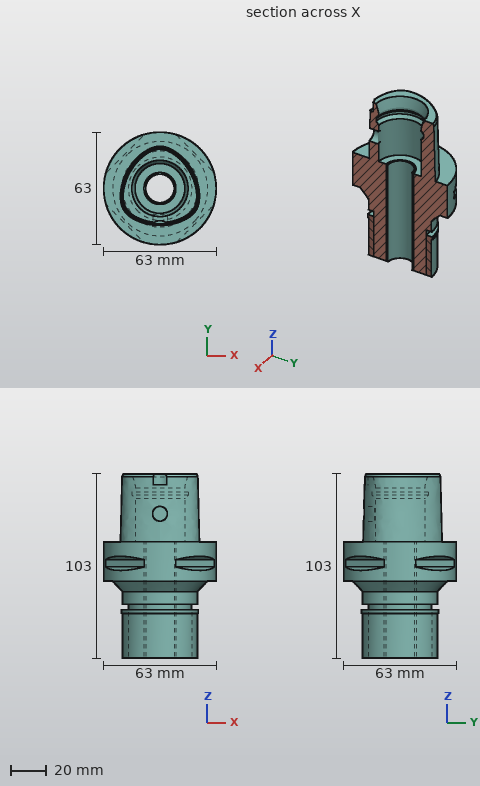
import cadquery as cq
import math

total_height = 103.0
collar_top_z = 65.0
collar_bottom_z = 43.0
cone_bottom_z = 37.2
neck_bottom_z = 30.1
sleeve_top_z = 27.1
flange_bottom_z = 25.1

collar_radius = 31.5
cone_top_radius = 26.5
neck_radius = 21.0
spindle_radius = 17.7
sleeve_radius = neck_radius
flange_radius = 21.5
flange_chamfer_height = 0.3

shank_base_radius = 22.1
lobe_height = 1.4
half_outline_steps = 24
taper_per_height = 1 / 40
shank_chamfer_height = 1.5
shank_chamfer_width = 0.7
shank_chamfer_z = total_height - shank_chamfer_height
shank_rim_radius = shank_base_radius - (shank_chamfer_z - collar_top_z) * taper_per_height

keyway_radius = 5.2
keyway_axis_y = -23.1
keyway_depth = 6.1
blind_hole_radius = 4.1
blind_hole_z = 80.6
blind_hole_end_y = -14.4

bore_mouth_radius = 15.8
bore_radius = 13.9
bore_groove_radius = 15.8
mouth_depth = 6.3
groove_start_depth = 7.8
groove_wall_start_depth = 10.0
groove_wall_end_depth = 11.7
groove_end_depth = 13.8
bore_floor_z = collar_top_z

bush_outer_radius = 9.0
bush_inner_radius = 7.9

slot_count = 4
slot_first_angle = 45.0
slot_floor_distance = 27.6
slot_floor_height = 4.0
slot_flank_angle = 27.0
slot_centre_z = 52.9

clearance = 1.0


def revolve_profile(points):
    """Solid of revolution about Z from (radius, height) points."""
    return cq.Workplane("XZ").polyline(points).close().revolve(360, (0, 0, 0), (0, 1, 0))


def lobed_halves(mean_radius, z):
    """Right and left half of a closed three-lobed outline with one lobe pointing along +Y.

    The distance from the axis to the tangent line at angle a is
    mean_radius + lobe_height * cos(3 * (a - 90 degrees)).
    """
    def point(angle):
        lobe_phase = 3 * (angle - math.pi / 2)
        reach = mean_radius + lobe_height * math.cos(lobe_phase)
        slope = -3 * lobe_height * math.sin(lobe_phase)
        return cq.Vector(
            reach * math.cos(angle) - slope * math.sin(angle),
            reach * math.sin(angle) + slope * math.cos(angle),
            z,
        )

    step = math.pi / half_outline_steps
    points = [point(index * step - math.pi / 2) for index in range(half_outline_steps + 1)]
    right_half = cq.Edge.makeSpline(points)
    return [right_half, right_half.mirror("YZ")]


def make_shank():
    """Tapered lobed shank with a chamfered tip, closed from ruled side faces and two end faces."""
    base = lobed_halves(shank_base_radius, collar_top_z)
    rim = lobed_halves(shank_rim_radius, shank_chamfer_z)
    tip = lobed_halves(shank_rim_radius - shank_chamfer_width, total_height)
    faces = [cq.Face.makeFromWires(cq.Wire.assembleEdges(end)) for end in (base, tip)]
    for lower, upper in ((base, rim), (rim, tip)):
        for lower_half, upper_half in zip(lower, upper):
            faces.append(cq.Face.makeRuledSurface(lower_half, upper_half))
    return cq.Solid.makeSolid(cq.Shell.makeShell(faces))


def make_holder_body():
    """Collar, cone and neck, with the thinner spindle running down to the bottom."""
    return revolve_profile([
        (0, 0),
        (spindle_radius, 0),
        (spindle_radius, neck_bottom_z),
        (neck_radius, neck_bottom_z),
        (neck_radius, cone_bottom_z),
        (cone_top_radius, collar_bottom_z),
        (collar_radius, collar_bottom_z),
        (collar_radius, collar_top_z),
        (0, collar_top_z),
    ])


def make_keyway_cutter():
    return (
        cq.Workplane("XY", origin=(0, keyway_axis_y, total_height - keyway_depth))
        .circle(keyway_radius)
        .extrude(keyway_depth + clearance)
    )


def make_blind_hole_cutter():
    length = shank_base_radius + clearance + blind_hole_end_y
    return (
        cq.Workplane("XZ", origin=(0, blind_hole_end_y, blind_hole_z))
        .circle(blind_hole_radius)
        .extrude(length)
    )


def make_bore_cutter():
    """Tapered mouth, short land, undercut groove with sloping sides, then a plain bore."""
    return revolve_profile([
        (0, bore_floor_z),
        (bore_radius, bore_floor_z),
        (bore_radius, total_height - groove_end_depth),
        (bore_groove_radius, total_height - groove_wall_end_depth),
        (bore_groove_radius, total_height - groove_wall_start_depth),
        (bore_radius, total_height - groove_start_depth),
        (bore_radius, total_height - mouth_depth),
        (bore_mouth_radius, total_height),
        (0, total_height),
    ])


def make_slot_cutter(angle):
    """Straight slot across the collar: flat floor, flanks opening outwards."""
    outer_distance = collar_radius + clearance
    flare = (outer_distance - slot_floor_distance) * math.tan(math.radians(slot_flank_angle))
    floor_half = slot_floor_height / 2
    outer_half = floor_half + flare
    return (
        cq.Workplane("XZ")
        .polyline([
            (slot_floor_distance, slot_centre_z - floor_half),
            (outer_distance, slot_centre_z - outer_half),
            (outer_distance, slot_centre_z + outer_half),
            (slot_floor_distance, slot_centre_z + floor_half),
        ])
        .close()
        .extrude(collar_radius, both=True)
        .rotate((0, 0, 0), (0, 0, 1), angle)
    )


def make_holder():
    holder = make_holder_body().union(make_shank())
    holder = holder.cut(make_keyway_cutter())
    holder = holder.cut(make_blind_hole_cutter())
    holder = holder.cut(make_bore_cutter())
    bush_hole = cq.Workplane("XY").circle(bush_outer_radius).extrude(bore_floor_z)
    holder = holder.cut(bush_hole)
    for index in range(slot_count):
        angle = slot_first_angle + index * 360 / slot_count
        holder = holder.cut(make_slot_cutter(angle))
    return holder.solids()


def make_sleeve():
    """Sleeve around the spindle, with a flange at its upper end."""
    return revolve_profile([
        (spindle_radius, 0),
        (sleeve_radius, 0),
        (sleeve_radius, flange_bottom_z - flange_chamfer_height),
        (flange_radius, flange_bottom_z),
        (flange_radius, sleeve_top_z),
        (spindle_radius, sleeve_top_z),
    ])


def make_bush():
    """Thin bush through the spindle, flush with the floor of the clamping bore."""
    return (
        cq.Workplane("XY")
        .circle(bush_outer_radius)
        .circle(bush_inner_radius)
        .extrude(bore_floor_z)
    )


holder = make_holder()
sleeve = make_sleeve()
bush = make_bush()

result = cq.Compound.makeCompound([holder.val(), sleeve.val(), bush.val()])